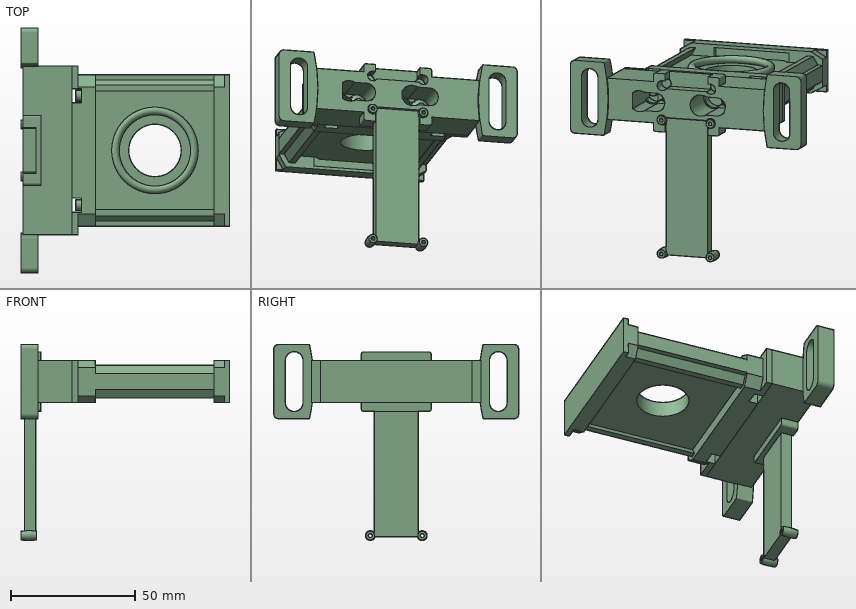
import cadquery as cq


EAR_THICKNESS = 7.0
EAR_HEIGHT = 30.0
EAR_OUTER_Y = 49.3
EAR_INNER_Y = 34.9
EAR_INNER_BULGE = 1.7
EAR_OUTER_RADIUS = 2.0
EAR_INNER_RADIUS = 0.5
EAR_SLOT_WIDTH = 7.0
EAR_SLOT_LENGTH = 24.0
EAR_SLOT_Y = 41.05
BAR_FRONT_X = 0.8
BAR_BACK_X = 20.6
BAR_WIDTH = 68.0
BAR_HEIGHT = 17.0
PAD_BACK_X = 8.1
PAD_WIDTH = 28.2
PAD_HEIGHT = 24.0
PAD_RADIUS = 1.0

FLAP_FRONT_X = 1.45
FLAP_BACK_X = 6.1
FLAP_WIDTH = 17.8
FLAP_TOP_Z = -6.25
FLAP_BOTTOM_Z = -62.5
RECESS_WIDTH = 18.4
RECESS_INNER_Z = 5.9
BARREL_Y = 10.45
BARREL_TOP_Z = -7.0
BARREL_BOTTOM_Z = -61.94
BARREL_LENGTH = 6.4
BARREL_END_DIAMETER = 3.5
BARREL_MID_DIAMETER = 4.0
BARREL_BORE = 1.5
BARREL_SEAT_DIAMETER = 4.0
BARREL_NECK_TOP_Z = 9.1

STUD_Y = 13.0
KEYHOLE_SLIDE = 7.0
KEYHOLE_ENTRY_DIAMETER = 8.66
KEYHOLE_BACK_DIAMETER = 7.6
KEYHOLE_SLOT_WIDTH = 7.5
KEYHOLE_WEB_SLOT_WIDTH = 5.0
KEYHOLE_WEB_X = 16.6
STUD_HEAD_DIAMETER = 7.5
STUD_TIP_DIAMETER = 3.24
STUD_HEAD_LENGTH = 2.1
STUD_FLAT_OFFSET = 2.6
KEYHOLE_FLAT_CLEARANCE = 0.3

FLANGE_BACK_X = 23.0
BASE_BACK_X = 30.0
CAP_FRONT_X = 77.6
FRAME_WIDTH = 61.0
BEVEL_Y = 4.9
BEVEL_Z = 2.8
RAIL_LEDGE_Z = 3.25
RAIL_TOP_Z = 6.65
RAIL_LEDGE_Y = 28.4
RAIL_TOP_Y = 26.3
RAIL_INNER_Y = 23.85
FLOOR_Z = 3.5
OPENING_DIAMETER = 21.0
OPENING_X = 53.95
TONGUE_WIDTH = 30.6
TONGUE_LENGTH = 2.4
TONGUE_CORNER = 2.3

CAP_LIP_X = 81.85
CAP_BACK_X = 84.0
MORTISE_WIDTH = 32.0
MORTISE_HEIGHT = 14.6

RING_OUTER_DIAMETER = 34.85
RING_SECTION = 3.1
RING_SINK = 0.2

BOSS_Y = 22.0
BOSS_DIAMETER = 4.5
BOSS_LENGTH = 2.5
BOSS_EDGE_CHAMFER = 0.25
BOSS_HOLE_DIAMETER = 2.0
BOSS_HOLE_DEPTH = 1.2
NOTCH_WIDTH = 5.6
NOTCH_BACK_X = 24.4


def block(x, y, z):
    """A box given by its (low, high) limits on each axis."""
    size = (x[1] - x[0], y[1] - y[0], z[1] - z[0])
    return cq.Workplane("XY").box(*size, centered=False).translate((x[0], y[0], z[0]))


def centred_block(x, width, height):
    """A box between two X limits, centred on Y = 0 and Z = 0."""
    return block(x, (-width / 2, width / 2), (-height / 2, height / 2))


def rod(x, y, z, diameter):
    """A round bar along X, between two X limits."""
    return cq.Workplane("YZ", origin=(x[0], y, z)).circle(diameter / 2).extrude(x[1] - x[0])


def mirrored(shape):
    """A shape together with its mirror image across Y = 0."""
    return shape.union(shape.mirror("XZ"))



def ear():
    half = EAR_HEIGHT / 2
    plate = (
        cq.Workplane("YZ")
        .moveTo(EAR_INNER_Y, -half)
        .lineTo(EAR_OUTER_Y, -half)
        .lineTo(EAR_OUTER_Y, half)
        .lineTo(EAR_INNER_Y, half)
        .threePointArc((EAR_INNER_Y - EAR_INNER_BULGE, 0), (EAR_INNER_Y, -half))
        .close()
        .extrude(EAR_THICKNESS)
    )
    plate = plate.edges("|X and >Y").fillet(EAR_OUTER_RADIUS)
    for side in ("<Z", ">Z"):
        plate = plate.faces(side).edges("|X and <Y").fillet(EAR_INNER_RADIUS)
    slot = (
        cq.Workplane("YZ")
        .center(EAR_SLOT_Y, 0)
        .slot2D(EAR_SLOT_LENGTH, EAR_SLOT_WIDTH, 90)
        .extrude(EAR_THICKNESS)
    )
    return plate.cut(slot)


def keyhole_layer(x, stud_y, entry_diameter, slot_width, flat):
    """Entry hole plus the slot leading from it towards -Y to the stud position."""
    entry_y = stud_y + KEYHOLE_SLIDE
    entry = rod(x, entry_y, 0, entry_diameter)
    if flat:
        flat_y = entry_y + STUD_FLAT_OFFSET + KEYHOLE_FLAT_CLEARANCE
        entry = entry.intersect(block(x, (stud_y, flat_y), (-entry_diameter, entry_diameter)))
    slot = block(x, (stud_y, entry_y), (-slot_width / 2, slot_width / 2))
    return entry.union(slot).union(rod(x, stud_y, 0, slot_width))


def keyhole(stud_y, flat):
    front = keyhole_layer(
        (BAR_FRONT_X, KEYHOLE_WEB_X), stud_y, KEYHOLE_ENTRY_DIAMETER, KEYHOLE_SLOT_WIDTH, flat)
    web = keyhole_layer(
        (KEYHOLE_WEB_X, BAR_BACK_X), stud_y, KEYHOLE_BACK_DIAMETER, KEYHOLE_WEB_SLOT_WIDTH, flat)
    return front.union(web)


def flap_recess():
    """Recess in the upper half of the pad, with a deeper seat for a flap barrel at each side."""
    depth = (BAR_FRONT_X, FLAP_BACK_X)
    half = RECESS_WIDTH / 2
    recess = block(depth, (-half, half), (RECESS_INNER_Z, PAD_HEIGHT / 2))
    neck = block(depth, (-BARREL_Y, BARREL_Y), (RECESS_INNER_Z, BARREL_NECK_TOP_Z))
    seat = rod((BAR_FRONT_X, BARREL_LENGTH), BARREL_Y, -BARREL_TOP_Z, BARREL_SEAT_DIAMETER)
    return recess.union(neck).union(mirrored(seat))


def make_mount():
    bar = centred_block((BAR_FRONT_X, BAR_BACK_X), BAR_WIDTH, BAR_HEIGHT)
    pad = centred_block((BAR_FRONT_X, PAD_BACK_X), PAD_WIDTH, PAD_HEIGHT)
    pad = pad.edges("|X").fillet(PAD_RADIUS)
    recess = flap_recess()
    mount = bar.union(pad).union(mirrored(ear()))
    mount = mount.cut(recess).cut(recess.mirror("XY"))
    return mount.cut(keyhole(STUD_Y, True)).cut(keyhole(-STUD_Y, False))



def bevelled_block(x):
    """Full frame section whose four long edges are bevelled."""
    return (
        centred_block(x, FRAME_WIDTH, BAR_HEIGHT)
        .edges("|X and >Z").chamfer(BEVEL_Z, BEVEL_Y)
        .edges("|X and <Z").chamfer(BEVEL_Z, BEVEL_Y)
    )


def rail():
    """Rail whose inner walls lean outwards towards the floor, parallel to its outer slopes."""
    slope = (RAIL_LEDGE_Y - RAIL_TOP_Y) / (RAIL_TOP_Z - RAIL_LEDGE_Z)
    foot_y = RAIL_INNER_Y + slope * (RAIL_TOP_Z - FLOOR_Z)
    upper_half = [
        (FRAME_WIDTH / 2, RAIL_LEDGE_Z),
        (RAIL_LEDGE_Y, RAIL_LEDGE_Z),
        (RAIL_TOP_Y, RAIL_TOP_Z),
        (RAIL_INNER_Y, RAIL_TOP_Z),
        (foot_y, FLOOR_Z),
        (RAIL_INNER_Y, FLOOR_Z),
    ]
    lower_half = [(y, -z) for y, z in reversed(upper_half)]
    sketch = cq.Workplane("YZ", origin=(BASE_BACK_X, 0, 0)).polyline(upper_half + lower_half).close()
    return sketch.extrude(CAP_FRONT_X - BASE_BACK_X)


def tongue():
    """Extension of the floor into the end cap, with its corners cut off at 45 degrees."""
    plate = centred_block((CAP_FRONT_X, CAP_FRONT_X + TONGUE_LENGTH), TONGUE_WIDTH, 2 * FLOOR_Z)
    return plate.edges("|Z and >X").chamfer(TONGUE_CORNER)


def boss():
    front_x = NOTCH_BACK_X - BOSS_LENGTH
    body = rod((front_x, NOTCH_BACK_X), BOSS_Y, 0, BOSS_DIAMETER)
    body = body.faces("<X").edges().chamfer(BOSS_EDGE_CHAMFER)
    return body.cut(rod((front_x, front_x + BOSS_HOLE_DEPTH), BOSS_Y, 0, BOSS_HOLE_DIAMETER))


def stud(y, flat):
    neck = rod((KEYHOLE_WEB_X, BAR_BACK_X), y, 0, KEYHOLE_WEB_SLOT_WIDTH)
    head = cq.Workplane(cq.Solid.makeCone(
        STUD_HEAD_DIAMETER / 2, STUD_TIP_DIAMETER / 2, STUD_HEAD_LENGTH,
        pnt=cq.Vector(KEYHOLE_WEB_X, y, 0), dir=cq.Vector(-1, 0, 0)))
    if flat:
        radius = STUD_HEAD_DIAMETER / 2
        head = head.intersect(block((0, BAR_BACK_X), (y - radius, y + STUD_FLAT_OFFSET), (-radius, radius)))
    return neck.union(head)


def make_frame(ring):
    flange = centred_block((BAR_BACK_X, FLANGE_BACK_X), BAR_WIDTH, BAR_HEIGHT)
    floor = centred_block((BASE_BACK_X, CAP_FRONT_X), 2 * RAIL_INNER_Y, 2 * FLOOR_Z)
    opening = (
        cq.Workplane("XY", origin=(OPENING_X, 0, -FLOOR_Z))
        .circle(OPENING_DIAMETER / 2)
        .extrude(2 * FLOOR_Z)
    )
    notch = centred_block((BAR_BACK_X, NOTCH_BACK_X), NOTCH_WIDTH, BAR_HEIGHT).translate((0, BOSS_Y, 0))
    frame = flange.union(bevelled_block((FLANGE_BACK_X, BASE_BACK_X))).cut(mirrored(notch))
    frame = frame.union(floor.cut(opening)).union(mirrored(rail())).union(tongue())
    frame = frame.union(stud(STUD_Y, True)).union(stud(-STUD_Y, False))
    return frame.union(mirrored(boss())).cut(ring)



def make_end_cap():
    lip = centred_block((CAP_LIP_X, CAP_BACK_X), FRAME_WIDTH, BAR_HEIGHT)
    mortise = centred_block((CAP_FRONT_X, CAP_FRONT_X + TONGUE_LENGTH), MORTISE_WIDTH, MORTISE_HEIGHT)
    return bevelled_block((CAP_FRONT_X, CAP_LIP_X)).union(lip).cut(mortise)



def make_ring():
    section_radius = RING_SECTION / 2
    centre = cq.Vector(OPENING_X, 0, FLOOR_Z + section_radius - RING_SINK)
    return cq.Workplane(cq.Solid.makeTorus(
        RING_OUTER_DIAMETER / 2 - section_radius, section_radius, centre))



def barrel(y, z):
    """A crowned barrel along X, thickest in the middle of its length."""
    end_radius = BARREL_END_DIAMETER / 2
    return (
        cq.Workplane("XY")
        .lineTo(0, end_radius)
        .threePointArc((BARREL_LENGTH / 2, BARREL_MID_DIAMETER / 2), (BARREL_LENGTH, end_radius))
        .lineTo(BARREL_LENGTH, 0)
        .close()
        .revolve(360, (0, 0, 0), (1, 0, 0))
        .translate((0, y, z))
    )


def make_flap():
    half = FLAP_WIDTH / 2
    flap = block((FLAP_FRONT_X, FLAP_BACK_X), (-half, half), (FLAP_BOTTOM_Z, FLAP_TOP_Z))
    centres = [(y, z) for y in (-BARREL_Y, BARREL_Y) for z in (BARREL_TOP_Z, BARREL_BOTTOM_Z)]
    for y, z in centres:
        flap = flap.union(barrel(y, z))
    for y, z in centres:
        flap = flap.cut(rod((0, BARREL_LENGTH), y, z, BARREL_BORE))
    return flap


mount = make_mount()
o_ring = make_ring()
frame = make_frame(o_ring)
end_cap = make_end_cap()
flap = make_flap()

result = cq.Compound.makeCompound(
    [mount.val(), frame.val(), end_cap.val(), o_ring.val(), flap.val()]
)